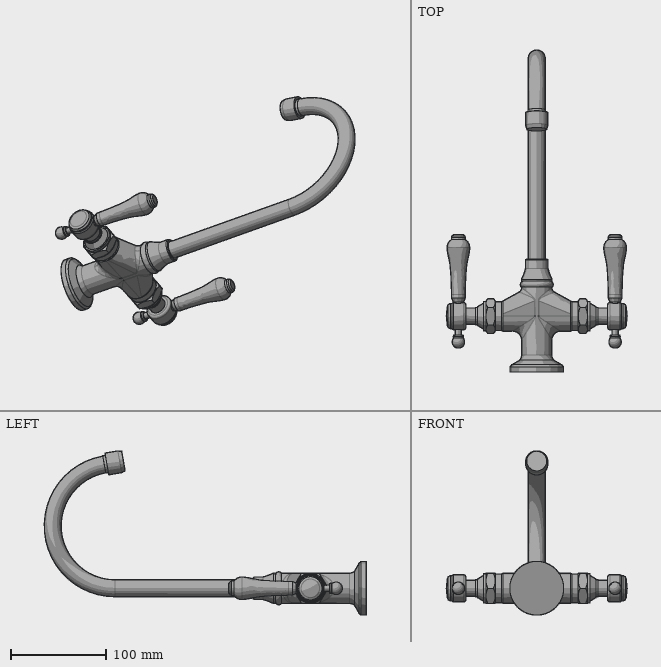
import cadquery as cq
import math


STEM_R = 16.0
FLANGE_R = 28.3
FLANGE_BACK_Y = -58.7
FLANGE_RIM_Y = -53.2
FLANGE_FACE_Y = -51.0
FLANGE_FACE_R = 26.3
FLARE_WAIST_Y = -46.3
FLARE_WAIST_R = 18.0
FLARE_TOP_Y = -41.0

RING_Y = 33.1
RING_BEAD_R = 3.5
RING_R = 17.4
STEP_R = 16.2
STEP_Y = 38.6
BELL_SAG = 0.4
BELL_TOP_Y = 49.8
BELL_TOP_R = 12.0
SLEEVE_TOP_Y = 60.0
SLEEVE_CHAMFER = 1.0

TUBE_R = 9.0
BEND_R = 65.46
TIP_Y = 279.37
BEND_Y = TIP_Y - TUBE_R - BEND_R
BEND_ANGLE = 170.0
NOZZLE_R = 11.7
NOZZLE_END_R = 10.5
NOZZLE_NECK_R = 9.3
NOZZLE_START = 2.8
NOZZLE_SHOULDER = 16.5
NOZZLE_END = 20.5

ARM_R = 15.88
ARM_END_R = 15.2
CROTCH_FILLET = 9.0
SHOULDER_FILLET = 5.0
ARM_STEP = 1.2
WEB_END_X = 35.6
WEB_END_Y = 2.3
WEB_MID_Y = 17.0
WEB_MID_RISE = 18.6
NUT_START_X = 43.3
NUT_END_X = 53.5
NUT_ACROSS_FLATS = 32.0
NUT_END_R = 15.7
NUT_BEVEL = 2.2
BONNET_RIM_X = 56.0
BONNET_RIM_R = 15.5
BONNET_R = 13.6
BONNET_TIP_X = 62.0
BONNET_TIP_R = 10.0
BONNET_BAND_R = 9.1
SPINDLE_X = 64.2
SPINDLE_R = 8.6

HUB_START_X = 74.2
HUB_END_X = 87.6
CAP_START_X = 89.0
HUB_R = 14.4
HUB_ROUND = 2.8
CAP_R = 13.4
CAP_EDGE_X = 90.6
CAP_BEVEL_X = 92.9
CAP_BEVEL_R = 12.2
CAP_FACE_X = 94.0
CAP_FACE_R = 9.7
DOME_X = 94.995

LEVER_X = 82.2
LEVER_NECK_R = 5.6
LEVER_NECK_Y = 15.0
LEVER_FLARE_Y = 19.0
LEVER_RING_R = 7.3
LEVER_RING_Y = 22.7
LEVER_WAIST = (7.9, 41.0)
LEVER_SWELL = (9.8, 59.0)
BULB_R = 12.0
BULB_Y = 72.0
BUTTON_R = 7.4
BUTTON_Y = 80.2
BUTTON_RIM_Y = 82.5
BUTTON_EDGE_R = 6.8
BUTTON_EDGE_Y = 84.3
BUTTON_TOP_R = 5.0
BUTTON_TOP_Y = 85.7
FINIAL_NECK_R = 3.4
FINIAL_COLLAR_R = 5.6
FINIAL_COLLAR_EDGE_R = 5.0
FINIAL_COLLAR_START_Y = -20.0
FINIAL_COLLAR_END_Y = -23.2
BALL_R = 6.6
BALL_Y = -27.1


def revolve_about_y(profile):
    return profile.close().revolve(axisStart=(0, 0, 0), axisEnd=(0, 1, 0))


def revolve_about_x(profile):
    return profile.close().revolve(axisStart=(0, 0, 0), axisEnd=(1, 0, 0))


def cross_body():
    """Crossing stem and arms below the arm axis, with rounded inner corners, and the stem above."""
    stem = cq.Workplane("XZ").circle(STEM_R).extrude(-FLARE_TOP_Y, both=True)
    arms = cq.Workplane("YZ").circle(ARM_R).extrude(WEB_END_X, both=True)
    seams = cq.selectors.BoxSelector((-STEM_R, -STEM_R, -STEM_R), (STEM_R, STEM_R, STEM_R))
    lower = stem.union(arms).edges(seams).fillet(CROTCH_FILLET)
    lower = lower.intersect(
        cq.Workplane("XY")
        .box(2 * WEB_END_X, -FLARE_TOP_Y, 2 * STEM_R)
        .translate((0, FLARE_TOP_Y / 2, 0))
    )
    stem_above = cq.Workplane("XZ").circle(STEM_R).extrude(-RING_Y)
    return lower.union(stem_above)


def wall_flange():
    """Round flange with a cone that sweeps into the stem."""
    flare_step = FLARE_WAIST_R - STEM_R
    flare_length = FLARE_TOP_Y - FLARE_WAIST_Y
    flare_arc_r = (flare_step**2 + flare_length**2) / (2 * flare_step)
    return revolve_about_y(
        cq.Workplane("XY")
        .moveTo(0, FLANGE_BACK_Y)
        .lineTo(FLANGE_R, FLANGE_BACK_Y)
        .lineTo(FLANGE_R, FLANGE_RIM_Y)
        .lineTo(FLANGE_FACE_R, FLANGE_FACE_Y)
        .lineTo(FLARE_WAIST_R, FLARE_WAIST_Y)
        .radiusArc((STEM_R, FLARE_TOP_Y), flare_arc_r)
        .lineTo(0, FLARE_TOP_Y)
    )


def spout_collar():
    """Beaded ring, bell and sleeve that carry the spout tube."""
    bead_foot_r = RING_R - RING_BEAD_R
    bell_mid = ((STEP_R + BELL_TOP_R) / 2 - BELL_SAG, (STEP_Y + BELL_TOP_Y) / 2)
    return revolve_about_y(
        cq.Workplane("XY")
        .moveTo(0, RING_Y - RING_BEAD_R)
        .lineTo(bead_foot_r, RING_Y - RING_BEAD_R)
        .threePointArc((RING_R, RING_Y), (bead_foot_r, RING_Y + RING_BEAD_R))
        .lineTo(STEP_R, RING_Y + RING_BEAD_R)
        .lineTo(STEP_R, STEP_Y)
        .threePointArc(bell_mid, (BELL_TOP_R, BELL_TOP_Y))
        .lineTo(BELL_TOP_R, SLEEVE_TOP_Y - SLEEVE_CHAMFER)
        .lineTo(BELL_TOP_R - SLEEVE_CHAMFER, SLEEVE_TOP_Y)
        .lineTo(0, SLEEVE_TOP_Y)
    )


def spout():
    """Straight tube along Y, bent up and back, with a nozzle on its end."""
    def bend_point(angle):
        turn = math.radians(angle)
        return (BEND_Y + BEND_R * math.sin(turn), BEND_R * (1 - math.cos(turn)))

    end_y, end_z = bend_point(BEND_ANGLE)
    path = (
        cq.Workplane("YZ")
        .moveTo(STEP_Y, 0)
        .lineTo(BEND_Y, 0)
        .threePointArc(bend_point(BEND_ANGLE / 2), (end_y, end_z))
    )
    tube = cq.Workplane("XZ", origin=(0, STEP_Y, 0)).circle(TUBE_R).sweep(path)
    nozzle = revolve_about_y(
        cq.Workplane("XY")
        .lineTo(NOZZLE_NECK_R, 0)
        .lineTo(NOZZLE_NECK_R, NOZZLE_START)
        .lineTo(NOZZLE_R, NOZZLE_START)
        .lineTo(NOZZLE_R, NOZZLE_SHOULDER)
        .lineTo(NOZZLE_END_R, NOZZLE_END)
        .lineTo(0, NOZZLE_END)
    )
    nozzle = nozzle.rotate((0, 0, 0), (1, 0, 0), BEND_ANGLE).translate((0, end_y, end_z))
    return tube.union(nozzle)


def web():
    """Sloping shoulder from the arm up to the collar, with flat faces above and below."""
    def arch(plane, spring_y, rise):
        return (
            plane.moveTo(0, -ARM_R)
            .lineTo(spring_y, -ARM_R)
            .ellipseArc(rise, ARM_R, -90, 90, startAtCurrent=True)
            .lineTo(0, ARM_R)
            .close()
        )

    outer = arch(cq.Workplane("YZ", origin=(WEB_END_X, 0, 0)), WEB_END_Y, ARM_R - WEB_END_Y)
    arches = arch(outer.workplane(offset=-WEB_END_X), WEB_MID_Y, WEB_MID_RISE)
    return arches.loft(ruled=True)


def body():
    """Cross with both shoulders, rounded where the shoulders run into the stem."""
    sharp = cross_body().union(web()).union(web().mirror("YZ"))
    seams = cq.selectors.BoxSelector((-STEM_R, WEB_MID_Y, -STEM_R), (STEM_R, RING_Y, STEM_R))
    return sharp.edges("%BSPLINE").edges(seams).fillet(SHOULDER_FILLET)


def arm_end():
    """Slightly thinner end of the arm, between the body and the nut."""
    return revolve_about_x(
        cq.Workplane("XY")
        .moveTo(WEB_END_X, 0)
        .lineTo(WEB_END_X, ARM_R)
        .lineTo(WEB_END_X + ARM_STEP, ARM_END_R)
        .lineTo(NUT_START_X, ARM_END_R)
        .lineTo(NUT_START_X, 0)
    )


def nut():
    """Hexagon with corners toward +Y and -Y, bevelled at both ends."""
    corner_r = NUT_ACROSS_FLATS / math.sqrt(3)
    hexagon = (
        cq.Workplane("YZ", origin=(NUT_START_X, 0, 0))
        .polygon(6, 2 * corner_r)
        .extrude(NUT_END_X - NUT_START_X)
    )
    bevels = revolve_about_x(
        cq.Workplane("XY")
        .moveTo(NUT_START_X, 0)
        .lineTo(NUT_START_X, NUT_END_R)
        .lineTo(NUT_START_X + NUT_BEVEL, corner_r)
        .lineTo(NUT_END_X - NUT_BEVEL, corner_r)
        .lineTo(NUT_END_X, NUT_END_R)
        .lineTo(NUT_END_X, 0)
    )
    return hexagon.intersect(bevels)


def bonnet_and_hub():
    """Turned parts outside the nut: bonnet, spindle, handle hub and domed cap."""
    return revolve_about_x(
        cq.Workplane("XY")
        .moveTo(NUT_END_X, 0)
        .lineTo(NUT_END_X, BONNET_RIM_R)
        .lineTo(BONNET_RIM_X, BONNET_RIM_R)
        .lineTo(BONNET_RIM_X, BONNET_R)
        .lineTo(BONNET_TIP_X, BONNET_TIP_R)
        .lineTo(BONNET_TIP_X, BONNET_BAND_R)
        .lineTo(SPINDLE_X, BONNET_BAND_R)
        .lineTo(SPINDLE_X, SPINDLE_R)
        .lineTo(HUB_START_X, SPINDLE_R)
        .lineTo(HUB_START_X, HUB_R - HUB_ROUND)
        .radiusArc((HUB_START_X + HUB_ROUND, HUB_R), HUB_ROUND)
        .lineTo(HUB_END_X, HUB_R)
        .lineTo(CAP_START_X, CAP_R)
        .lineTo(CAP_EDGE_X, CAP_R)
        .lineTo(CAP_BEVEL_X, CAP_BEVEL_R)
        .lineTo(CAP_FACE_X, CAP_FACE_R)
        .lineTo(DOME_X, 0)
    )


def lever():
    """Bulb-ended handle pointing along +Y."""
    grip_points = [LEVER_WAIST, LEVER_SWELL, (BULB_R, BULB_Y)]
    return revolve_about_y(
        cq.Workplane("XY")
        .lineTo(LEVER_NECK_R, 0)
        .lineTo(LEVER_NECK_R, LEVER_NECK_Y)
        .lineTo(LEVER_RING_R, LEVER_FLARE_Y)
        .lineTo(LEVER_RING_R, LEVER_RING_Y)
        .spline(grip_points, tangents=[(0, 1), (0, 1)], includeCurrent=True)
        .tangentArcPoint((BUTTON_R, BUTTON_Y), relative=False)
        .lineTo(BUTTON_R, BUTTON_RIM_Y)
        .lineTo(BUTTON_EDGE_R, BUTTON_EDGE_Y)
        .lineTo(BUTTON_TOP_R, BUTTON_TOP_Y)
        .lineTo(0, BUTTON_TOP_Y)
    ).translate((LEVER_X, 0, 0))


def finial():
    """Ball on a collared neck pointing along -Y."""
    collar_mid_y = (FINIAL_COLLAR_START_Y + FINIAL_COLLAR_END_Y) / 2
    post = revolve_about_y(
        cq.Workplane("XY")
        .lineTo(FINIAL_NECK_R, 0)
        .lineTo(FINIAL_NECK_R, FINIAL_COLLAR_START_Y)
        .lineTo(FINIAL_COLLAR_EDGE_R, FINIAL_COLLAR_START_Y)
        .lineTo(FINIAL_COLLAR_R, collar_mid_y)
        .lineTo(FINIAL_COLLAR_EDGE_R, FINIAL_COLLAR_END_Y)
        .lineTo(0, FINIAL_COLLAR_END_Y)
    )
    ball = cq.Workplane("XY").sphere(BALL_R).translate((0, BALL_Y, 0))
    return post.union(ball).translate((LEVER_X, 0, 0))


valve_side = arm_end().union(nut()).union(bonnet_and_hub()).union(lever()).union(finial())

result = body().union(wall_flange()).union(spout_collar()).union(spout())
result = result.union(valve_side).union(valve_side.mirror("YZ"))